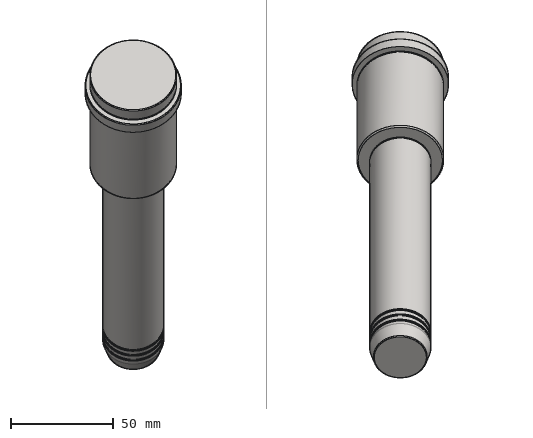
import cadquery as cq

total_length = 230.0
shoulder_height = 155.0
collar_bottom = 214.8
collar_top = 221.3

collar_radius = 23.5
head_radius = 21.2
pin_radius = 15.0
tip_radius = 13.0

head_top_chamfer = 0.5
head_bottom_chamfer = 0.7
collar_chamfer = 0.5
relief_height = 1.0
relief_depth = 0.5

taper_height = 7.5
tip_chamfer = 0.5
groove_width = 1.0
groove_depth = 0.5
groove_spacing = 4.1
lowest_groove_bottom = 10.1
groove_count = 3


def cylinder(radius, bottom, top):
    return cq.Workplane("XY").workplane(offset=bottom).circle(radius).extrude(top - bottom)


def groove_ring(outer_radius, depth, bottom, width):
    """Ring of material to remove from a cylinder of the given radius."""
    blank = cylinder(outer_radius, bottom, bottom + width)
    core = cylinder(outer_radius - depth, bottom, bottom + width)
    return blank.cut(core)


def make_tip():
    """Tapered lead-in with a small chamfer on its end face."""
    return (
        cq.Workplane("XZ")
        .lineTo(tip_radius - tip_chamfer, 0)
        .lineTo(tip_radius, tip_chamfer)
        .lineTo(pin_radius, taper_height)
        .lineTo(0, taper_height)
        .close()
        .revolve(360, (0, 0, 0), (0, 1, 0))
    )


def make_pin():
    """Slender pin with grooves near the tip and a relief under the shoulder."""
    pin = make_tip().union(cylinder(pin_radius, taper_height, shoulder_height))
    for index in range(groove_count):
        groove_bottom = lowest_groove_bottom + index * groove_spacing
        pin = pin.cut(groove_ring(pin_radius, groove_depth, groove_bottom, groove_width))
    relief_bottom = shoulder_height - relief_height
    return pin.cut(groove_ring(pin_radius, relief_depth, relief_bottom, relief_height))


def make_head():
    """Thick head with a collar and a relief groove on each side of the collar."""
    head = cylinder(head_radius, shoulder_height, total_length)
    head = head.faces(">Z").chamfer(head_top_chamfer)
    head = head.faces("<Z").chamfer(head_bottom_chamfer)
    for relief_bottom in (collar_bottom - relief_height, collar_top):
        head = head.cut(groove_ring(head_radius, relief_depth, relief_bottom, relief_height))
    collar = cylinder(collar_radius, collar_bottom, collar_top)
    collar = collar.faces(">Z").chamfer(collar_chamfer)
    return head.union(collar)


result = make_pin().union(make_head())